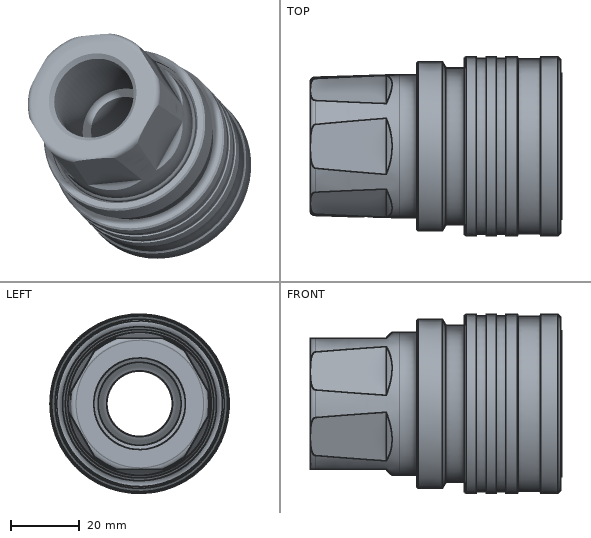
import cadquery as cq

overall_length = 73.0
flats_end = 22.05
wrench_cone_end = 25.9
collar_start = 30.9
collar_end = 39.35
sleeve_start = 44.75
sleeve_end = 72.7
grip_grooves = [(48.1, 51.0), (54.0, 56.8)]
relief_start = 60.1
relief_end = 66.95

wrench_tip_radius = 20.0
shank_radius = 20.8
collar_radius = 24.5
neck_radius = 22.8
sleeve_radius = 26.0
groove_radius = 25.55
relief_radius = 25.4
end_lip_radius = 21.2

flat_count = 6
across_flats = 38.0

tip_fillet = 1.5
small_chamfer = 0.5
relief_wall_run = 0.2
collar_back_chamfer_length = 1.0
sleeve_back_chamfer = 0.95

lip_radius = 21.5
lip_rounding = 0.65
ring_groove_radius = 22.35
ring_groove_depth = 1.45

through_radius = 9.5
counterbore_radius = 12.05
counterbore_depth = 29.2
counterbore_chamfer = 1.25


def x_cylinder(start, end, radius):
    """Solid cylinder on the X axis between two axial positions."""
    return cq.Workplane("YZ").workplane(offset=start).circle(radius).extrude(end - start)


def revolve_about_x(profile):
    """Solid of revolution from (axial position, radius) points."""
    return cq.Workplane("XY").polyline(profile).close().revolve(360, (0, 0, 0), (1, 0, 0))


def make_wrench_end():
    """Slightly tapered round end that continues into the cylindrical shank."""
    profile = [
        (0, 0),
        (0, wrench_tip_radius),
        (wrench_cone_end, shank_radius),
        (collar_start, shank_radius),
        (collar_start, 0),
    ]
    body = revolve_about_x(profile)
    return body.faces("<X").edges().fillet(tip_fillet)


def make_flat_cutter():
    """Material removed above one wrench flat, with a 45 degree run-out at its inner end."""
    flat_height = across_flats / 2
    cut_height = sleeve_radius - flat_height
    side_profile = [
        (0, flat_height),
        (flats_end, flat_height),
        (flats_end + cut_height, sleeve_radius),
        (0, sleeve_radius),
    ]
    return cq.Workplane("XZ").polyline(side_profile).close().extrude(sleeve_radius, both=True)


def cut_wrench_flats(body):
    """Cut the equally spaced flats around the wrench end."""
    cutter = make_flat_cutter()
    for index in range(flat_count):
        body = body.cut(cutter.rotate((0, 0, 0), (1, 0, 0), index * 360 / flat_count))
    return body


def make_collar():
    """Chamfered collar with a ring groove and a rounded lip in its front face."""
    collar = x_cylinder(collar_start, collar_end, collar_radius)
    collar = collar.faces("<X").edges().chamfer(small_chamfer)
    collar_back_drop = collar_radius - neck_radius
    collar = collar.faces(">X").edges().chamfer(collar_back_chamfer_length, collar_back_drop)
    groove_floor = collar_start + ring_groove_depth
    collar = collar.cut(x_cylinder(collar_start, groove_floor, ring_groove_radius))
    lip = x_cylinder(collar_start, groove_floor, lip_radius)
    return collar.union(lip.faces("<X").edges().fillet(lip_rounding))


def make_relief_cutter():
    """Wide shallow band around the sleeve, with sloping end walls."""
    profile = [
        (relief_start, sleeve_radius),
        (relief_start + relief_wall_run, relief_radius),
        (relief_end - relief_wall_run, relief_radius),
        (relief_end, sleeve_radius),
    ]
    return revolve_about_x(profile)


def make_sleeve():
    """Large grip sleeve with shallow grooves and a low lip on its end face."""
    sleeve = x_cylinder(sleeve_start, sleeve_end, sleeve_radius)
    sleeve = sleeve.faces("<X").edges().chamfer(small_chamfer)
    sleeve = sleeve.faces(">X").edges().chamfer(sleeve_back_chamfer)
    for start, end in grip_grooves:
        ring = x_cylinder(start, end, sleeve_radius).cut(x_cylinder(start, end, groove_radius))
        sleeve = sleeve.cut(ring)
    sleeve = sleeve.cut(make_relief_cutter())
    return sleeve.union(x_cylinder(sleeve_end, overall_length, end_lip_radius))


def make_bore():
    """Through hole with a chamfered counterbore at the wrench end."""
    profile = [
        (0, 0),
        (0, counterbore_radius + counterbore_chamfer),
        (counterbore_chamfer, counterbore_radius),
        (counterbore_depth, counterbore_radius),
        (counterbore_depth, through_radius),
        (overall_length, through_radius),
        (overall_length, 0),
    ]
    return revolve_about_x(profile)


wrench_end = cut_wrench_flats(make_wrench_end())
neck = x_cylinder(collar_end, sleeve_start, neck_radius)
result = wrench_end.union(make_collar()).union(neck).union(make_sleeve()).cut(make_bore())